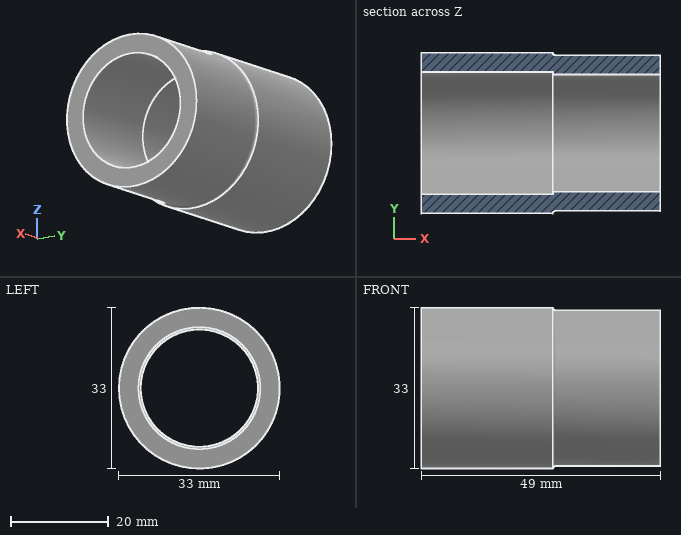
import cadquery as cq

overall_length = 49.0
large_length = 27.0
large_outer_diameter = 33.0
small_outer_diameter = 32.0
wall_thickness = 4.0

small_length = overall_length - large_length
step_height = (large_outer_diameter - small_outer_diameter) / 2
step_fillet_radius = step_height

large_bore_diameter = large_outer_diameter - 2 * wall_thickness
small_bore_diameter = small_outer_diameter - 2 * wall_thickness

large_end_x = -overall_length / 2
step_x = large_end_x + large_length


def cylinder_along_x(start_x, length, diameter):
    """Solid cylinder on the X axis, running towards +X from start_x."""
    return cq.Workplane("YZ", origin=(start_x, 0, 0)).circle(diameter / 2).extrude(length)


def outer_body():
    """Outside of both sections, with a concave quarter-round filling the step."""
    large_radius = large_outer_diameter / 2
    small_radius = small_outer_diameter / 2
    small_end_x = step_x + small_length
    fillet_end_x = step_x + step_fillet_radius
    fillet_centre = (fillet_end_x, small_radius + step_fillet_radius)
    diagonal_offset = step_fillet_radius / 2**0.5
    fillet_middle = (fillet_centre[0] - diagonal_offset, fillet_centre[1] - diagonal_offset)
    profile = (
        cq.Workplane("XY")
        .moveTo(large_end_x, 0)
        .lineTo(large_end_x, large_radius)
        .lineTo(step_x, large_radius)
        .threePointArc(fillet_middle, (fillet_end_x, small_radius))
        .lineTo(small_end_x, small_radius)
        .lineTo(small_end_x, 0)
        .close()
    )
    return profile.revolve(360, (0, 0, 0), (1, 0, 0))


large_bore = cylinder_along_x(large_end_x, large_length, large_bore_diameter)
small_bore = cylinder_along_x(step_x, small_length, small_bore_diameter)

result = outer_body().cut(large_bore).cut(small_bore)